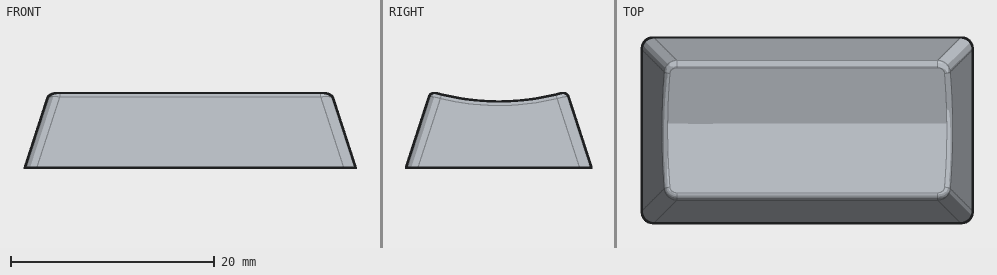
import cadquery as cq

base_length = 32.59
base_width = 18.3

wall_angle = 18.0
blank_height = 9.0
corner_radius = 1.25

dish_floor_height = 6.53
dish_radius = 23.0

rim_radius = 0.6


def tapered_blank():
    """Four-sided frustum with rounded sloping corners."""
    blank = (
        cq.Workplane("XY")
        .rect(base_length, base_width)
        .extrude(blank_height, taper=wall_angle)
    )
    sloping_corners = blank.edges("not #Z")
    return sloping_corners.fillet(corner_radius)


def dish_cutter():
    """Cylinder along X whose lowest line is the floor of the dish."""
    return (
        cq.Workplane("YZ")
        .center(0, dish_floor_height + dish_radius)
        .circle(dish_radius)
        .extrude(base_length / 2, both=True)
    )


def round_rim(body):
    """Round every edge between the dish and the surrounding walls."""
    dish_rim = body.faces(">Z").edges()
    return dish_rim.fillet(rim_radius)


dished_body = tapered_blank().cut(dish_cutter())
result = round_rim(dished_body)